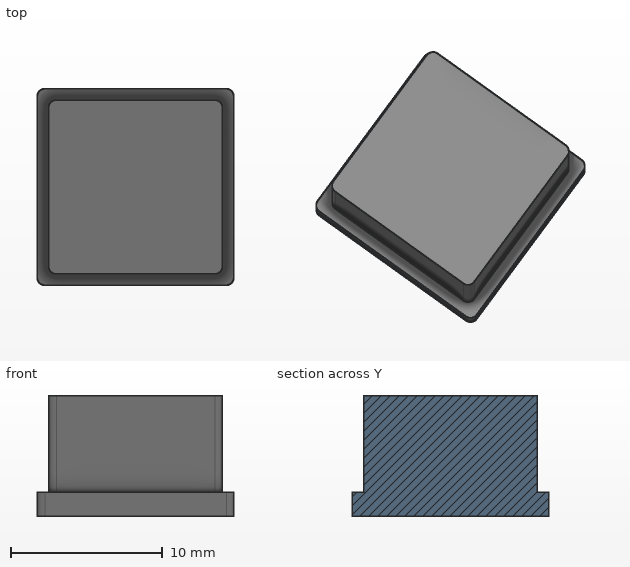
import cadquery as cq

base_side = 12.95
total_height = 7.94
base_height = 1.59
ledge_width = 0.75
corner_radius = 0.5

block_side = base_side - 2 * ledge_width
block_height = total_height - base_height


def rounded_square_prism(side, height, bottom_z):
    """Square prism centred on the Z axis with rounded vertical corners."""
    return (
        cq.Workplane("XY", origin=(0, 0, bottom_z))
        .rect(side, side)
        .extrude(height)
        .edges("|Z")
        .fillet(corner_radius)
    )


base = rounded_square_prism(base_side, base_height, 0)
block = rounded_square_prism(block_side, block_height, base_height)

result = base.union(block)